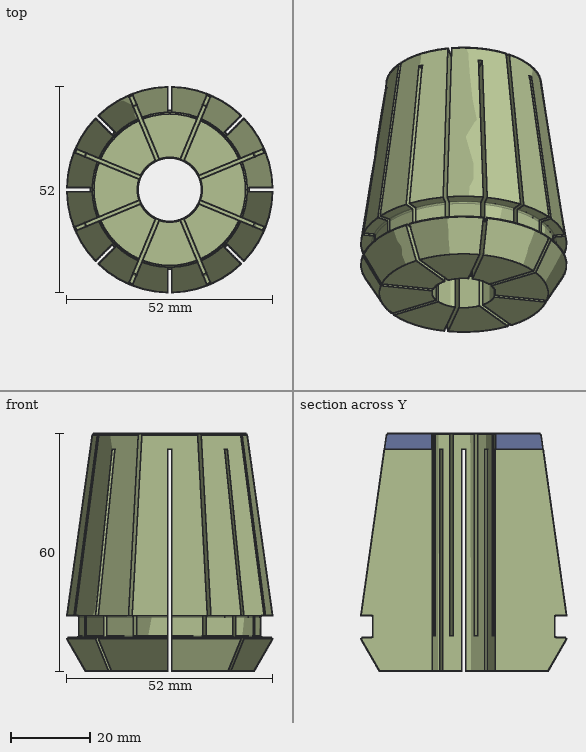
import cadquery as cq
import math

total_height = 60.0
max_radius = 26.0
bore_radius = 16.0 / 2
bore_chamfer = 0.2

flange_top_z = 8.5
flange_cone_angle = 30.0
rim_bevel = 0.4
flange_cone_top_z = flange_top_z - rim_bevel
flange_end_radius = max_radius - flange_cone_top_z * math.tan(math.radians(flange_cone_angle))

groove_radius = 23.0
groove_top_z = 14.0
groove_fillet = 0.4

taper_angle = 8.0
taper_top_radius = max_radius - (total_height - groove_top_z) * math.tan(math.radians(taper_angle))
top_edge_chamfer = 0.4

slit_width = 1.0
slits_per_end = 8
slit_pitch = 360.0 / slits_per_end
lower_slit_top_z = 56.0
upper_slit_floor_z = flange_top_z + groove_fillet


def body():
    """Solid of revolution around the bore, with rounded groove corners and chamfered top edges."""
    fillet_end_radius = groove_radius + groove_fillet
    arc_inset = groove_fillet * (1 - math.sqrt(0.5))
    profile = (
        cq.Workplane("XZ")
        .moveTo(bore_radius, 0)
        .lineTo(flange_end_radius, 0)
        .lineTo(max_radius, flange_cone_top_z)
        .lineTo(max_radius - rim_bevel, flange_top_z)
        .lineTo(fillet_end_radius, flange_top_z)
        .threePointArc(
            (groove_radius + arc_inset, flange_top_z + arc_inset),
            (groove_radius, flange_top_z + groove_fillet),
        )
        .lineTo(groove_radius, groove_top_z - groove_fillet)
        .threePointArc(
            (groove_radius + arc_inset, groove_top_z - arc_inset),
            (fillet_end_radius, groove_top_z),
        )
        .lineTo(max_radius, groove_top_z)
        .lineTo(taper_top_radius, total_height)
        .lineTo(bore_radius + bore_chamfer, total_height)
        .lineTo(bore_radius, total_height - bore_chamfer)
        .close()
    )
    solid = profile.revolve(360, (0, 0, 0), (0, 1, 0))
    return solid.faces(">Z").edges(cq.selectors.RadiusNthSelector(-1)).chamfer(top_edge_chamfer)


def slit_cutter(start_angle, bottom_z, top_z):
    """Radial slits running from the axis out past the rim, spaced evenly."""
    reach = max_radius + slit_width
    blade = cq.Workplane("XY", origin=(0, 0, bottom_z)).rect(reach, slit_width)
    blade = blade.extrude(top_z - bottom_z).translate((reach / 2, 0, 0))
    cutter = cq.Workplane("XY")
    for index in range(slits_per_end):
        angle = start_angle + index * slit_pitch
        cutter = cutter.add(blade.rotate((0, 0, 0), (0, 0, 1), angle))
    return cutter.combine()


result = body()
result = result.cut(slit_cutter(0, 0, lower_slit_top_z))
result = result.cut(slit_cutter(slit_pitch / 2, upper_slit_floor_z, total_height))